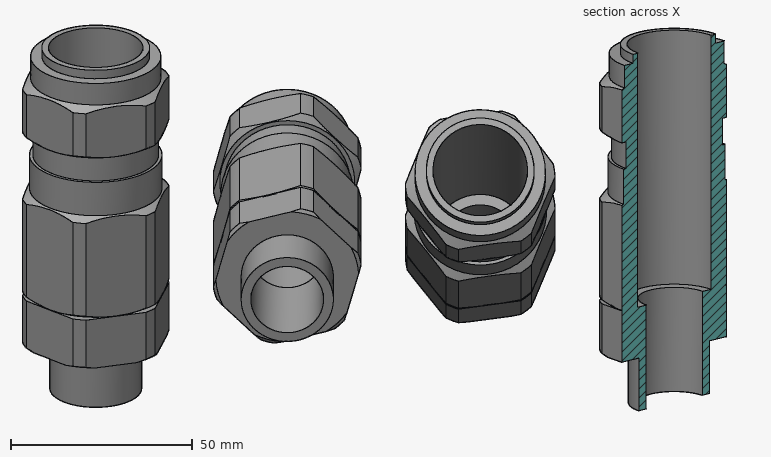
import cadquery as cq
import math

ACROSS_FLATS = 37.5
CORNER_DIAMETER = 41.3
CHAMFER_ANGLE = 30.0

SPIGOT_TOP = 15.2
LOWER_NUT_TOP = 30.0
BODY_HEX_TOP = 60.7
BODY_COLLAR_TOP = 70.8
NECK_TOP = 78.3
UPPER_NUT_TOP = 94.1
NUT_COLLAR_TOP = 100.6
TOTAL_HEIGHT = 103.2

SPIGOT_DIAMETER = 25.4
BODY_COLLAR_DIAMETER = 36.5
NECK_DIAMETER = 34.7
NUT_COLLAR_DIAMETER = 35.9
RIM_DIAMETER = 29.7

NUT_BASE_DIAMETER = 39.3
HEX_BASE_DIAMETER = 37.2

BORE_DIAMETER = 20.0
COUNTERBORE_DIAMETER = 26.0
COUNTERBORE_FLOOR = LOWER_NUT_TOP


def cylinder(bottom, top, diameter):
    """Round section on the Z axis between two heights."""
    return cq.Workplane("XY").workplane(offset=bottom).circle(diameter / 2).extrude(top - bottom)


def chamfer_height(face_diameter):
    """Axial length of the chamfer cone from an end face out to the corner cylinder."""
    return (CORNER_DIAMETER - face_diameter) / 2 * math.tan(math.radians(CHAMFER_ANGLE))


def hex_section(bottom, top, bottom_diameter, top_diameter):
    """Hexagon with corners on +X and -X, trimmed by a cylinder with conical ends."""
    circumscribed_diameter = ACROSS_FLATS / math.cos(math.radians(30))
    prism = (
        cq.Workplane("XY")
        .workplane(offset=bottom)
        .polygon(6, circumscribed_diameter)
        .extrude(top - bottom)
    )
    corner_radius = CORNER_DIAMETER / 2
    envelope_points = [
        (0, bottom),
        (bottom_diameter / 2, bottom),
        (corner_radius, bottom + chamfer_height(bottom_diameter)),
        (corner_radius, top - chamfer_height(top_diameter)),
    ]
    if top_diameter < CORNER_DIAMETER:
        envelope_points.append((top_diameter / 2, top))
    envelope_points.append((0, top))
    envelope = cq.Workplane("XZ").polyline(envelope_points).close().revolve(360, (0, 0), (0, 1))
    return prism.intersect(envelope)


sections = [
    cylinder(0, SPIGOT_TOP, SPIGOT_DIAMETER),
    hex_section(SPIGOT_TOP, LOWER_NUT_TOP, NUT_BASE_DIAMETER, CORNER_DIAMETER),
    hex_section(LOWER_NUT_TOP, BODY_HEX_TOP, HEX_BASE_DIAMETER, BODY_COLLAR_DIAMETER),
    cylinder(BODY_HEX_TOP, BODY_COLLAR_TOP, BODY_COLLAR_DIAMETER),
    cylinder(BODY_COLLAR_TOP, NECK_TOP, NECK_DIAMETER),
    hex_section(NECK_TOP, UPPER_NUT_TOP, HEX_BASE_DIAMETER, NUT_COLLAR_DIAMETER),
    cylinder(UPPER_NUT_TOP, NUT_COLLAR_TOP, NUT_COLLAR_DIAMETER),
    cylinder(NUT_COLLAR_TOP, TOTAL_HEIGHT, RIM_DIAMETER),
]
fitting = sections[0]
for section in sections[1:]:
    fitting = fitting.union(section)

bore = cylinder(0, TOTAL_HEIGHT, BORE_DIAMETER)
counterbore = cylinder(COUNTERBORE_FLOOR, TOTAL_HEIGHT, COUNTERBORE_DIAMETER)
result = fitting.cut(bore).cut(counterbore)